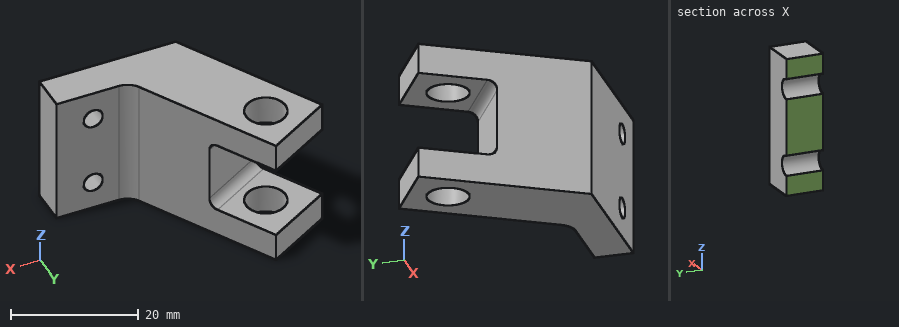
import cadquery as cq
import math

total_length = 37.7
total_depth = 30.6
height = 22.85
arm_thickness = 12.75
base_thickness = arm_thickness / 2
arm_angle = 120.0
bend_radius = 3.15
pin_diameter = 6.8
slot_width = 12.8
slot_depth = arm_thickness
slot_corner_radius = 1.6
screw_diameter = 3.28
screw_spacing = arm_thickness
screw_end_distance = base_thickness

angle = math.radians(arm_angle)
arm_length = (total_depth + arm_thickness * math.cos(angle)) / math.sin(angle)
base_length = total_length + arm_length * math.cos(angle)


def arm_point(along, across):
    """XY point at a distance along the arm and inward from its outer face."""
    return (
        along * math.cos(angle) + across * math.sin(angle),
        along * math.sin(angle) - across * math.cos(angle),
    )


inner_along = (base_thickness + arm_thickness * math.cos(angle)) / math.sin(angle)
inner_corner = arm_point(inner_along, arm_thickness)


def bent_body():
    outline = [
        (0, 0),
        (base_length, 0),
        (base_length, base_thickness),
        inner_corner,
        arm_point(arm_length, arm_thickness),
        arm_point(arm_length, 0),
    ]
    body = cq.Workplane("XY").polyline(outline).close().extrude(height)
    bend_edge = cq.selectors.NearestToPointSelector((*inner_corner, height / 2))
    return body.edges(bend_edge).fillet(bend_radius)


def fork_slot():
    """Slot across the arm, open at its free end, with rounded floor corners."""
    slot = (
        cq.Workplane("XY")
        .box(2 * slot_depth, 2 * arm_thickness, slot_width)
        .edges("|Y and <X")
        .fillet(slot_corner_radius)
    )
    end_x, end_y = arm_point(arm_length, arm_thickness / 2)
    return slot.rotate((0, 0, 0), (0, 0, 1), arm_angle).translate((end_x, end_y, height / 2))


def pin_hole():
    center = arm_point(arm_length - arm_thickness / 2, arm_thickness / 2)
    return cq.Workplane("XY").center(*center).circle(pin_diameter / 2).extrude(height)


def screw_holes():
    hole_x = base_length - screw_end_distance
    places = [(hole_x, height / 2 + side * screw_spacing / 2) for side in (-1, 1)]
    return cq.Workplane("XZ").pushPoints(places).circle(screw_diameter / 2).extrude(-base_thickness)


result = bent_body().cut(fork_slot()).cut(pin_hole()).cut(screw_holes())